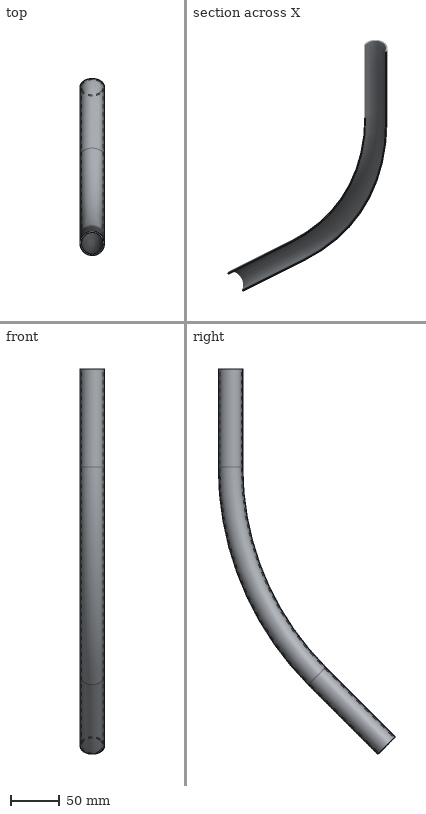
import cadquery as cq
import math

outer_diameter = 25.4
inner_diameter = 22.2
leg_length = 101.6
bend_radius = 304.8
bend_angle = 45.0


def bend_point(angle_degrees):
    """Centreline point (Y, Z) after turning by the given angle from vertical."""
    angle = math.radians(angle_degrees)
    return (
        bend_radius * (1 - math.cos(angle)),
        -bend_radius * math.sin(angle),
    )


def centreline():
    """Path in the YZ plane: down the vertical leg, round the bend toward +Y, along the sloping leg."""
    bend_end = bend_point(bend_angle)
    slope = math.radians(bend_angle)
    lower_end = (
        bend_end[0] + leg_length * math.sin(slope),
        bend_end[1] - leg_length * math.cos(slope),
    )
    return (
        cq.Workplane("YZ")
        .moveTo(0, leg_length)
        .lineTo(0, 0)
        .threePointArc(bend_point(bend_angle / 2), bend_end)
        .lineTo(*lower_end)
    )


def tube():
    """Ring section at the top of the vertical leg, swept along the centreline."""
    return (
        cq.Workplane("XY", origin=(0, 0, leg_length))
        .circle(outer_diameter / 2)
        .circle(inner_diameter / 2)
        .sweep(centreline())
    )


result = tube()